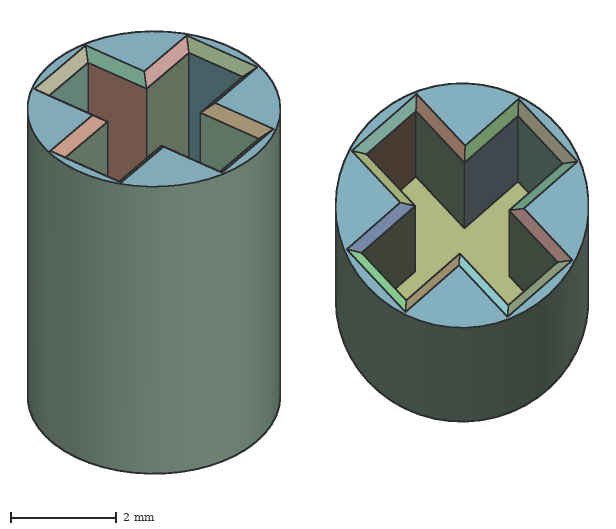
import cadquery as cq

stem_diameter = 4.8
stem_height = 6.9

arm_span = 4.0
arm_width = 1.26
socket_depth = 5.0

bevel_width = 0.2
bevel_depth = 0.2


def make_stem():
    """Plain cylinder."""
    return cq.Workplane("XY").circle(stem_diameter / 2).extrude(stem_height)


def make_arm_cutter(size_x, size_y):
    """Rectangular slot through the axis, flared outwards at the top face."""
    slot = (
        cq.Workplane("XY", origin=(0, 0, stem_height - socket_depth))
        .rect(size_x, size_y)
        .extrude(socket_depth)
    )
    flare = (
        cq.Workplane("XY", origin=(0, 0, stem_height - bevel_depth))
        .rect(size_x, size_y)
        .workplane(offset=bevel_depth)
        .rect(size_x + 2 * bevel_width, size_y + 2 * bevel_width)
        .loft(ruled=True)
    )
    return slot.union(flare)


def cut_cross_socket(stem):
    """Cut two crossing slots, one along X and one along Y."""
    for size_x, size_y in ((arm_span, arm_width), (arm_width, arm_span)):
        stem = stem.cut(make_arm_cutter(size_x, size_y))
    return stem


result = cut_cross_socket(make_stem())